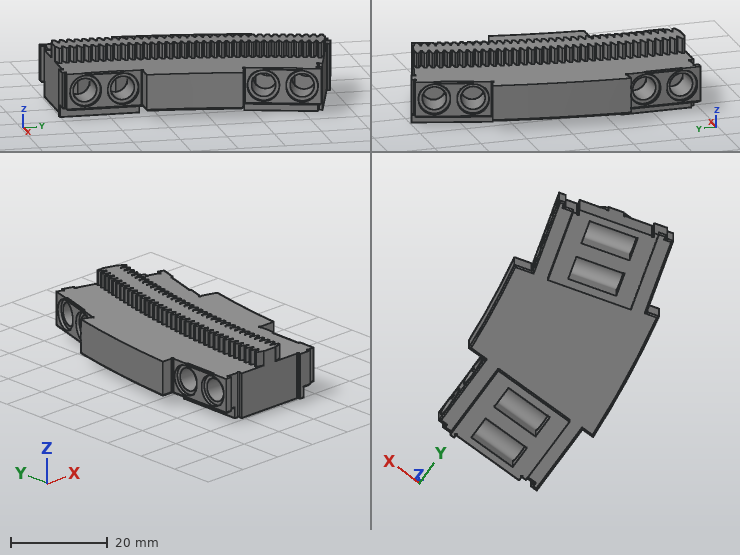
import cadquery as cq
import math

CURVE_RADIUS = 200.3
CURVE_ANGLE = 16.2

END_HALF_WIDTH = 12.6
END_LENGTH = 16.0
MIDDLE_HALF_WIDTH = 15.9

BODY_BOTTOM = 2.15
BODY_TOP = 10.0
RACK_TOP = 13.2
BOTTOM_CHAMFER = 0.35

FOOT_HALF_WIDTH = 9.15
FOOT_LENGTH = 16.2

KEY_OFFSET = 9.6
KEY_WIDTH = 2.9
KEY_PROJECTION = 0.65
KEYWAY_WIDTH = 3.0
KEYWAY_DEPTH = 0.9
KEY_SIDES = (KEY_OFFSET - KEY_WIDTH / 2, KEY_OFFSET + KEY_WIDTH / 2)
KEYWAY_SIDES = (-KEY_OFFSET - KEYWAY_WIDTH / 2, -KEY_OFFSET + KEYWAY_WIDTH / 2)
RELIEF_RADIUS = 0.25

BORE_DIAMETER = 5.0
COUNTERBORE_DIAMETER = 6.6
COUNTERBORE_DEPTH = 0.8
BORE_SPACING = 8.0
BORE_HEIGHT = 6.2
BORE_POSITIONS = (BORE_SPACING * 0.5, BORE_SPACING * 1.5)
CAVITY_HALF_LENGTH = 5.3
SIDE_RECESS_DEPTH = 0.35
SIDE_RECESS_HEIGHT = 0.35

TOOTH_COUNT = 36
TIP_OFFSET = 3.4
ROOT_OFFSET = 1.7
TIP_LAND = 0.5
ROOT_LAND = 0.2


def point_on_curve(radius, angle):
    """Plan point at a radius from the bend centre, at an angle (degrees) along the curve."""
    turn = math.radians(angle)
    return (CURVE_RADIUS - radius * math.cos(turn), radius * math.sin(turn))


def to_north(solid):
    """Turn a south-end solid end for end and carry it to the north end."""
    bend_centre = (CURVE_RADIUS, 0, 0)
    bend_axis_end = (CURVE_RADIUS, 0, 1)
    turned = solid.rotate((0, 0, 0), (0, 0, 1), 180)
    return turned.rotate(bend_centre, bend_axis_end, -CURVE_ANGLE)


def block(x_range, y_range, z_range):
    """Axis-aligned box given by its limits."""
    size = [high - low for low, high in (x_range, y_range, z_range)]
    corner = (x_range[0], y_range[0], z_range[0])
    return cq.Workplane("XY").box(*size, centered=False).translate(corner)


def mirrored_in_angle(angle):
    """Angle of the matching point when the curve is counted from the north end."""
    return CURVE_ANGLE - angle


def make_end_block():
    """Straight block of the south end with its projecting key."""
    heights = (BODY_BOTTOM, BODY_TOP)
    end = block((-END_HALF_WIDTH, END_HALF_WIDTH), (0, END_LENGTH), heights)
    return end.union(block(KEY_SIDES, (-KEY_PROJECTION, 0), heights))


def make_end_keyway():
    """Space cut by the keyway of the south end."""
    return block(KEYWAY_SIDES, (0, KEYWAY_DEPTH), (0, BODY_TOP))


def make_body():
    """Curved plate: a wide middle with concentric sides and a narrower straight block at each end."""
    outer_radius = CURVE_RADIUS + MIDDLE_HALF_WIDTH
    inner_radius = CURVE_RADIUS - MIDDLE_HALF_WIDTH
    outer_step = math.degrees(math.asin(END_LENGTH / outer_radius))
    inner_step = math.degrees(math.asin(END_LENGTH / inner_radius))
    middle = (
        cq.Workplane("XY", origin=(0, 0, BODY_BOTTOM))
        .moveTo(*point_on_curve(outer_radius, outer_step))
        .threePointArc(
            point_on_curve(outer_radius, CURVE_ANGLE / 2),
            point_on_curve(outer_radius, mirrored_in_angle(outer_step)),
        )
        .lineTo(*point_on_curve(inner_radius, mirrored_in_angle(inner_step)))
        .threePointArc(
            point_on_curve(inner_radius, CURVE_ANGLE / 2),
            point_on_curve(inner_radius, inner_step),
        )
        .close()
        .extrude(BODY_TOP - BODY_BOTTOM)
    )
    end = make_end_block()
    keyway = make_end_keyway()
    body = middle.union(end).union(to_north(end)).cut(keyway).cut(to_north(keyway))
    return body.faces("<Z").chamfer(BOTTOM_CHAMFER)


def make_end_foot():
    """Foot under the south end, carrying down the part of the key and keyway that lies above it."""
    heights = (0, BODY_BOTTOM + BOTTOM_CHAMFER)
    foot = block((-FOOT_HALF_WIDTH, FOOT_HALF_WIDTH), (0, FOOT_LENGTH), heights)
    lower_key = block((KEY_SIDES[0], FOOT_HALF_WIDTH), (-KEY_PROJECTION, 0), heights)
    return foot.union(lower_key).cut(make_end_keyway())


def make_end_reliefs():
    """Corner reliefs of the south end, at the keyway, the key and the body steps."""
    relief_points = [(x, KEYWAY_DEPTH) for x in KEYWAY_SIDES]
    relief_points += [(x, 0) for x in KEY_SIDES]
    relief_points += [(x, END_LENGTH) for x in (-END_HALF_WIDTH, END_HALF_WIDTH)]
    return cq.Workplane("XY").pushPoints(relief_points).circle(RELIEF_RADIUS).extrude(BODY_TOP)


def cross_cylinder(diameter, x_range, y):
    """Cylinder along X at bore height."""
    start = (x_range[0], y, BORE_HEIGHT)
    return cq.Workplane("YZ", origin=start).circle(diameter / 2).extrude(x_range[1] - x_range[0])


def make_end_bores():
    """Counterbored cross bores, opening downwards in the middle, and the slits above them."""
    full_width = (-END_HALF_WIDTH, END_HALF_WIDTH)
    counterbore_floor = END_HALF_WIDTH - COUNTERBORE_DEPTH
    recess_floor = END_HALF_WIDTH - SIDE_RECESS_DEPTH
    recess_heights = (BODY_TOP - SIDE_RECESS_HEIGHT, BODY_TOP)
    bores = cq.Workplane("XY")
    for y in BORE_POSITIONS:
        cavity_sides = (y - BORE_DIAMETER / 2, y + BORE_DIAMETER / 2)
        cavity = block((-CAVITY_HALF_LENGTH, CAVITY_HALF_LENGTH), cavity_sides, (0, BORE_HEIGHT))
        bores = bores.union(cross_cylinder(BORE_DIAMETER, full_width, y)).union(cavity)
    for x_range in ((-END_HALF_WIDTH, -counterbore_floor), (counterbore_floor, END_HALF_WIDTH)):
        for y in BORE_POSITIONS:
            bores = bores.union(cross_cylinder(COUNTERBORE_DIAMETER, x_range, y))
    for x_range in ((-END_HALF_WIDTH, -recess_floor), (recess_floor, END_HALF_WIDTH)):
        bores = bores.union(block(x_range, BORE_POSITIONS, recess_heights))
    return bores


def tooth_side(side):
    """Toothed edge from south to north; side is +1 for the outer edge and -1 for the inner one."""
    pitch = CURVE_ANGLE / TOOTH_COUNT
    tip_radius = CURVE_RADIUS + side * TIP_OFFSET
    root_radius = CURVE_RADIUS + side * ROOT_OFFSET
    half_tip = math.degrees(TIP_LAND / 2 / tip_radius)
    half_root = math.degrees(ROOT_LAND / 2 / root_radius)
    points = [point_on_curve(root_radius, 0)]
    for tooth in range(TOOTH_COUNT):
        start = tooth * pitch
        points += [
            point_on_curve(root_radius, start + half_root),
            point_on_curve(tip_radius, start + pitch / 2 - half_tip),
            point_on_curve(tip_radius, start + pitch / 2 + half_tip),
            point_on_curve(root_radius, start + pitch - half_root),
        ]
    points.append(point_on_curve(root_radius, CURVE_ANGLE))
    return points


def make_rack():
    """Curved rack with teeth on both sides, standing on top of the body."""
    outline = tooth_side(1) + tooth_side(-1)[::-1]
    rack = cq.Workplane("XY", origin=(0, 0, BODY_TOP)).polyline(outline).close()
    return rack.extrude(RACK_TOP - BODY_TOP)


foot = make_end_foot()
end_cuts = make_end_reliefs().union(make_end_bores())

result = make_body().union(foot).union(to_north(foot))
result = result.cut(end_cuts).cut(to_north(end_cuts))
result = result.union(make_rack())